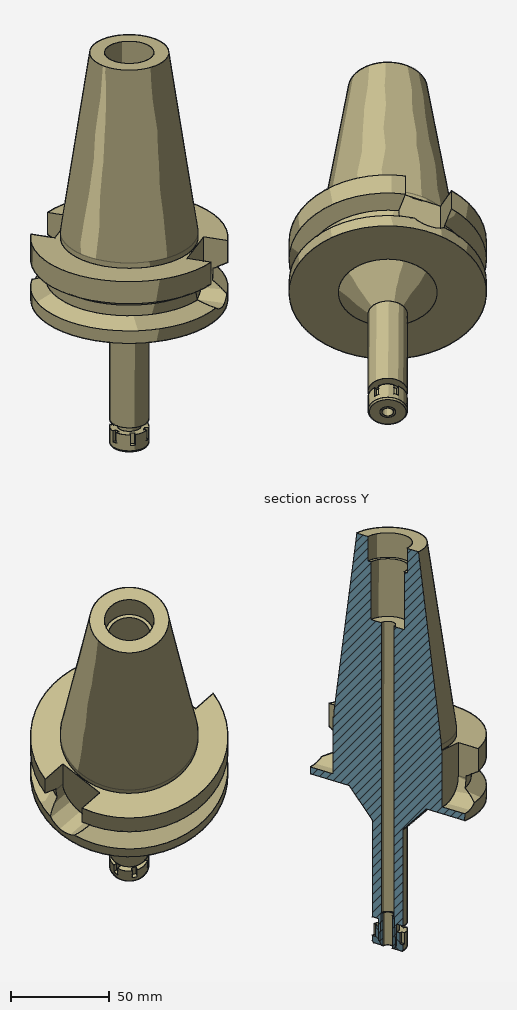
import cadquery as cq
import math


gauge_dia = 69.85
taper_ratio = 7 / 24
taper_length = 101.8
taper_top_dia = gauge_dia - taper_ratio * taper_length

flange_dia = 100.0
flange_top_z = -3.0
flange_bottom_z = -38.0
groove_root_dia = 84.6
groove_center_z = -23.2
groove_root_width = 6.0
groove_flank_angle = math.radians(31.5)
groove_flank_height = (flange_dia - groove_root_dia) / 2 * math.tan(groove_flank_angle)
groove_half_root = groove_root_width / 2
groove_half_mouth = groove_half_root + groove_flank_height

drive_slot_width = 25.7
drive_slot_floor_x = 35.4
drive_slot_depth = 31.0
drive_slot_end_radius = drive_slot_width / 2

overall_projection = 120.0
shaft_dia = 20.0
cone_height = 15.0
cone_top_dia = shaft_dia + 2 * cone_height
cone_bottom_z = flange_bottom_z - cone_height
nut_height = 10.0
nose_gap = 4.0
nose_dia = 12.0
nut_floor_thickness = 2.0
nut_bottom_z = -overall_projection
nut_top_z = nut_bottom_z + nut_height
nose_bottom_z = nut_bottom_z + nut_floor_thickness
shaft_bottom_z = nut_top_z + nose_gap

stud_pilot_dia = 25.0
stud_pilot_depth = 13.4
stud_thread_dia = 21.2
stud_thread_depth = 45.0
channel_dia = 8.0

collet_length = 18.0
collet_large_dia = 10.0
collet_bore_dia = 5.8
collet_top_z = nut_bottom_z + collet_length

nut_dia = shaft_dia
nut_chamfer_height = 1.0
nut_chamfer_width = 0.7
nut_slot_count = 6
nut_slot_pitch = 360 / nut_slot_count
nut_slot_width = 2.5
nut_slot_depth = 2.0
nut_slot_length = 6.0


def cylinder(diameter, bottom_z, top_z):
    """Upright cylinder on the Z axis."""
    return cq.Workplane("XY").workplane(offset=bottom_z).circle(diameter / 2).extrude(top_z - bottom_z)


def revolved(profile):
    """Solid of revolution about Z from (radius, z) points."""
    return cq.Workplane("XZ").polyline(profile).close().revolve(360, (0, 0, 0), (0, 1, 0))


def collet_envelope():
    """Collet without its bore: a taper seated in the nose and a reverse taper seated in the nut."""
    return revolved([
        (0, collet_top_z),
        (channel_dia / 2, collet_top_z),
        (collet_large_dia / 2, nose_bottom_z),
        (channel_dia / 2, nut_bottom_z),
        (0, nut_bottom_z),
    ])


def drive_slot():
    """Cutter for the +X drive slot: open at the flange top, with a round lower end."""
    round_center_z = flange_top_z - drive_slot_depth + drive_slot_end_radius
    return (
        cq.Workplane("YZ")
        .workplane(offset=drive_slot_floor_x)
        .moveTo(-drive_slot_end_radius, flange_top_z)
        .lineTo(-drive_slot_end_radius, round_center_z)
        .threePointArc((0, flange_top_z - drive_slot_depth), (drive_slot_end_radius, round_center_z))
        .lineTo(drive_slot_end_radius, flange_top_z)
        .close()
        .extrude(flange_dia / 2)
    )


def make_holder():
    body = revolved([
        (0, taper_length),
        (taper_top_dia / 2, taper_length),
        (gauge_dia / 2, 0),
        (gauge_dia / 2, flange_top_z),
        (flange_dia / 2, flange_top_z),
        (flange_dia / 2, groove_center_z + groove_half_mouth),
        (groove_root_dia / 2, groove_center_z + groove_half_root),
        (groove_root_dia / 2, groove_center_z - groove_half_root),
        (flange_dia / 2, groove_center_z - groove_half_mouth),
        (flange_dia / 2, flange_bottom_z),
        (cone_top_dia / 2, flange_bottom_z),
        (shaft_dia / 2, cone_bottom_z),
        (shaft_dia / 2, shaft_bottom_z),
        (nose_dia / 2, shaft_bottom_z),
        (nose_dia / 2, nose_bottom_z),
        (0, nose_bottom_z),
    ])
    for angle in (0, 180):
        body = body.cut(drive_slot().rotate((0, 0, 0), (0, 0, 1), angle))
    body = body.cut(cylinder(stud_pilot_dia, taper_length - stud_pilot_depth, taper_length))
    body = body.cut(cylinder(stud_thread_dia, taper_length - stud_thread_depth, taper_length))
    body = body.cut(cylinder(channel_dia, collet_top_z, taper_length))
    return body.cut(collet_envelope())


def make_nut():
    body = revolved([
        (0, nut_top_z),
        (nut_dia / 2, nut_top_z),
        (nut_dia / 2, nut_bottom_z + nut_chamfer_height),
        (nut_dia / 2 - nut_chamfer_width, nut_bottom_z),
        (0, nut_bottom_z),
    ])
    body = body.cut(cylinder(nose_dia, nose_bottom_z, nut_top_z))
    body = body.cut(collet_envelope())
    slot = (
        cq.Workplane("XY")
        .box(nut_dia, nut_slot_width, nut_slot_length, centered=(False, True, False))
        .translate((nut_dia / 2 - nut_slot_depth, 0, nut_top_z - nut_slot_length))
    )
    for index in range(nut_slot_count):
        body = body.cut(slot.rotate((0, 0, 0), (0, 0, 1), index * nut_slot_pitch))
    return body


def make_collet():
    return collet_envelope().cut(cylinder(collet_bore_dia, nut_bottom_z, collet_top_z))


holder = make_holder()
nut = make_nut()
collet = make_collet()

result = cq.Compound.makeCompound([holder.val(), nut.val(), collet.val()])